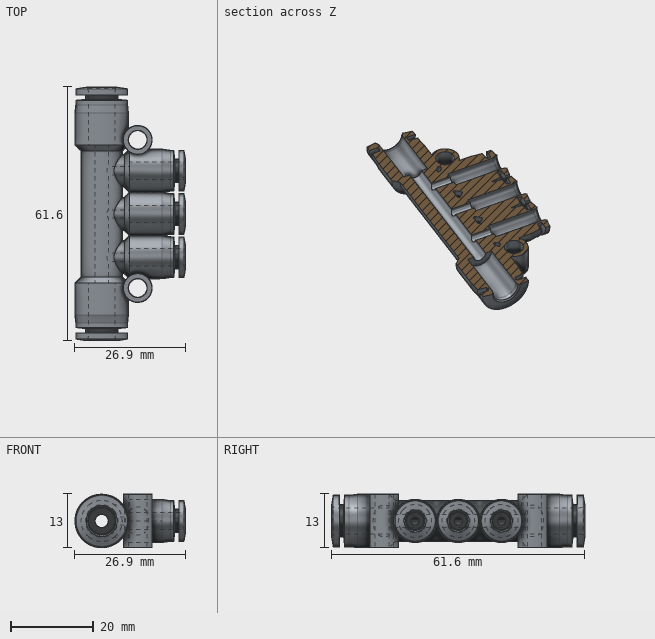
import cadquery as cq

RUN_LENGTH = 61.6
RUN_RADIUS = 5.0
RUN_BORE_RADIUS = 1.6

BRANCH_COUNT = 3
BRANCH_PITCH = 10.5
BRANCH_REACH = 20.4
BRANCH_STUB_RADIUS = 4.0
BRANCH_BORE_RADIUS = 1.0

RUN_PORT = dict(
    body_radius=6.5,
    cap_radius=6.3,
    neck_radius=3.95,
    mouth_radius=3.75,
    socket_radius=3.2,
    flange_depth=1.9,
    neck_depth=2.95,
    cap_depth=4.3,
    taper_depth=6.25,
    body_depth=14.0,
    stem_radius=RUN_RADIUS,
)
BRANCH_PORT = dict(
    body_radius=BRANCH_PITCH / 2,
    cap_radius=4.95,
    neck_radius=2.85,
    mouth_radius=2.65,
    socket_radius=2.1,
    flange_depth=1.65,
    neck_depth=2.65,
    cap_depth=3.65,
    taper_depth=5.7,
    body_depth=13.65,
    stem_radius=BRANCH_STUB_RADIUS,
)
FLANGE_FACE_RISE = 0.4
CAP_FACE_RISE = 0.25
FLANGE_ROUND = 0.12
MOUTH_CHAMFER = 0.35
LEAD_IN_DEPTH = 1.2

EYE_RADIUS = 3.5
EYE_HOLE_RADIUS = 2.25
EYE_HEIGHT = 2 * RUN_PORT["body_radius"]
EYE_X = RUN_PORT["body_radius"] + EYE_HOLE_RADIUS
EYE_Y = BRANCH_PITCH + BRANCH_PORT["body_radius"] + EYE_HOLE_RADIUS


def run_plane(side):
    """Plane at a run end (side = +1 or -1) whose normal points into the part."""
    return cq.Plane(origin=(0, side * RUN_LENGTH / 2, 0), xDir=(1, 0, 0), normal=(0, -side, 0))


def branch_plane(y):
    """Plane at a branch tip whose normal points into the part."""
    return cq.Plane(origin=(BRANCH_REACH, y, 0), xDir=(0, 1, 0), normal=(-1, 0, 0))


def half_profile(plane):
    """Sketch plane through a port axis: local X is the radius, local Y the depth."""
    return cq.Workplane(
        cq.Plane(origin=plane.origin, xDir=plane.xDir, normal=plane.xDir.cross(plane.zDir))
    )


def port_solid(plane, port, length):
    """Solid port: release flange, neck, tapered body and a 45 degree cone down to the stem."""
    cap = port["cap_radius"]
    rim = cap - FLANGE_ROUND
    rim_depth = FLANGE_FACE_RISE + FLANGE_ROUND
    arc_offset = FLANGE_ROUND * 0.5 ** 0.5
    cone_end = port["body_depth"] + port["body_radius"] - port["stem_radius"]
    return (
        half_profile(plane)
        .lineTo(port["mouth_radius"], 0)
        .lineTo(rim, FLANGE_FACE_RISE)
        .threePointArc((rim + arc_offset, rim_depth - arc_offset), (cap, rim_depth))
        .lineTo(cap, port["flange_depth"])
        .lineTo(port["neck_radius"], port["flange_depth"])
        .lineTo(port["neck_radius"], port["neck_depth"])
        .lineTo(cap, port["neck_depth"] + CAP_FACE_RISE)
        .lineTo(cap, port["cap_depth"])
        .lineTo(port["body_radius"], port["taper_depth"])
        .lineTo(port["body_radius"], port["body_depth"])
        .lineTo(port["stem_radius"], cone_end)
        .lineTo(port["stem_radius"], length)
        .lineTo(0, length)
        .close()
        .revolve(360, (0, 0), (0, 1))
    )


def port_bore(plane, port, bore_radius, length):
    """Cutter for a port: chamfered and tapered tube socket followed by a narrow flow passage."""
    return (
        half_profile(plane)
        .lineTo(port["mouth_radius"], 0)
        .lineTo(port["mouth_radius"] - MOUTH_CHAMFER, MOUTH_CHAMFER)
        .lineTo(port["socket_radius"], LEAD_IN_DEPTH)
        .lineTo(port["socket_radius"], port["body_depth"])
        .lineTo(bore_radius, port["body_depth"])
        .lineTo(bore_radius, length)
        .lineTo(0, length)
        .close()
        .revolve(360, (0, 0), (0, 1))
    )


def mounting_eye(y):
    """Upright ring with a through hole along Z."""
    return (
        cq.Workplane("XY", origin=(EYE_X, y, -EYE_HEIGHT / 2))
        .circle(EYE_RADIUS)
        .circle(EYE_HOLE_RADIUS)
        .extrude(EYE_HEIGHT)
    )


run_ends = [run_plane(side) for side in (-1, 1)]
branch_ys = [(i - (BRANCH_COUNT - 1) / 2) * BRANCH_PITCH for i in range(BRANCH_COUNT)]
branch_tips = [branch_plane(y) for y in branch_ys]

result = cq.Workplane("XY")
for end in run_ends:
    result = result.union(port_solid(end, RUN_PORT, RUN_LENGTH / 2))
for tip in branch_tips:
    result = result.union(port_solid(tip, BRANCH_PORT, BRANCH_REACH))
for eye_y in (-EYE_Y, EYE_Y):
    result = result.union(mounting_eye(eye_y))
for end in run_ends:
    result = result.cut(port_bore(end, RUN_PORT, RUN_BORE_RADIUS, RUN_LENGTH / 2))
for tip in branch_tips:
    result = result.cut(port_bore(tip, BRANCH_PORT, BRANCH_BORE_RADIUS, BRANCH_REACH))